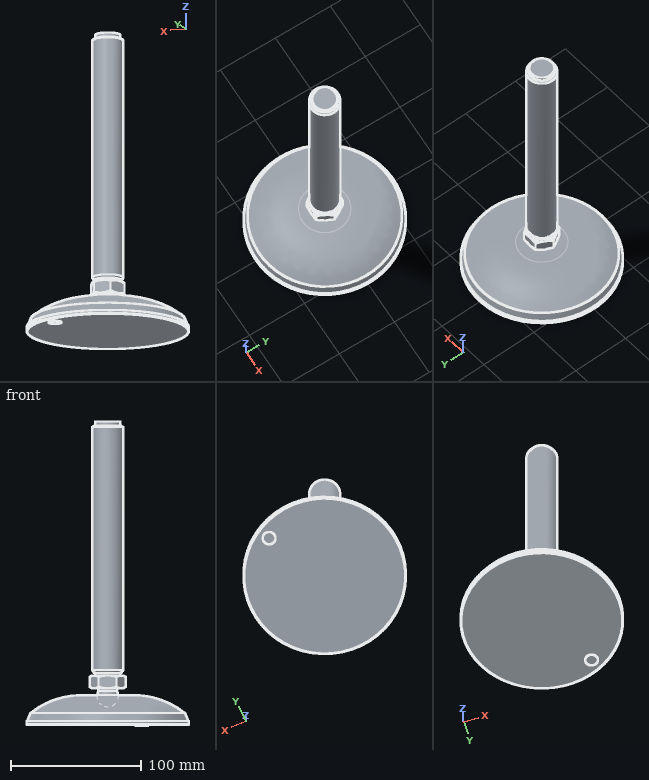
import cadquery as cq
import math


total_height = 233.7

pad_diameter = 125.0
pad_bottom_z = 0.5
pad_bottom_chamfer = 0.7
pad_band_top_z = 3.5
pad_side_foot_diameter = 124.0
pad_side_top_diameter = 119.0
stud_diameter = 9.8
stud_distance = 52.3
stud_angle = 60.0

dome_diameter = 118.2
dome_bottom_z = 9.8
dome_top_z = 23.5
dome_flat_diameter = 40.2

ball_diameter = 16.4
ball_centre_z = 22.7
neck_diameter = 14.3
neck_top_diameter = 15.2

rod_diameter = 24.0
hex_sides = 6
hex_across_flats = rod_diameter
hex_bottom_z = 28.7
hex_top_z = 38.5
hex_chamfer_angle = 30.0

rod_core_diameter = 19.5
rod_bottom_chamfer_diameter = 21.0
rod_chamfer_start_z = 40.7
rod_bottom_z = 42.8
tip_length = 3.3
rod_top_z = 229.2
rod_top_chamfer_diameter = 20.3


def make_pad():
    """Round pad with a conical side, a slightly wider bottom band and a small stud underneath."""
    outer_radius = pad_diameter / 2
    foot_radius = pad_side_foot_diameter / 2
    body = (
        cq.Workplane("XZ")
        .moveTo(0, pad_bottom_z)
        .lineTo(outer_radius - pad_bottom_chamfer, pad_bottom_z)
        .lineTo(outer_radius, pad_bottom_z + pad_bottom_chamfer)
        .lineTo(outer_radius, pad_band_top_z)
        .lineTo(foot_radius, pad_band_top_z)
        .lineTo(pad_side_top_diameter / 2, dome_bottom_z)
        .lineTo(0, dome_bottom_z)
        .close()
        .revolve(360, (0, 0), (0, 1))
    )
    stud_direction = math.radians(stud_angle)
    stud = (
        cq.Workplane("XY")
        .center(stud_distance * math.cos(stud_direction), stud_distance * math.sin(stud_direction))
        .circle(stud_diameter / 2)
        .extrude(pad_band_top_z)
    )
    return body.union(stud)


def make_ball():
    """Ball at the lower end of the spindle."""
    return cq.Workplane("XY").sphere(ball_diameter / 2).translate((0, 0, ball_centre_z))


def make_dome():
    """Dome with a flat top, a rounded crown tangent to it and a socket for the ball."""
    edge_radius = dome_diameter / 2
    flat_radius = dome_flat_diameter / 2
    body = (
        cq.Workplane("XZ")
        .moveTo(0, dome_bottom_z)
        .lineTo(0, dome_top_z)
        .lineTo(flat_radius, dome_top_z)
        .tangentArcPoint((edge_radius, dome_bottom_z), relative=False)
        .close()
        .revolve(360, (0, 0), (0, 1))
    )
    return body.cut(make_ball())


def make_hexagon():
    """Hexagon with corners along X, its corners cut back by a cone at both ends."""
    across_corners = hex_across_flats / math.cos(math.pi / hex_sides)
    height = hex_top_z - hex_bottom_z
    prism = (
        cq.Workplane("XY")
        .workplane(offset=hex_bottom_z)
        .polygon(hex_sides, across_corners)
        .extrude(height)
    )
    corner_depth = (across_corners - hex_across_flats) / 2
    chamfer_height = corner_depth * math.tan(math.radians(hex_chamfer_angle))
    chamfered_round = (
        cq.Workplane("XY")
        .workplane(offset=hex_bottom_z)
        .circle(across_corners / 2)
        .extrude(height)
        .faces("<Z or >Z")
        .chamfer(chamfer_height, corner_depth)
    )
    return prism.intersect(chamfered_round)


def make_neck():
    """Neck that leaves the ball and flares out to the hexagon."""
    neck_radius = neck_diameter / 2
    neck_bottom_z = ball_centre_z + math.sqrt((ball_diameter / 2) ** 2 - neck_radius**2)
    return (
        cq.Workplane("XZ")
        .moveTo(0, ball_centre_z)
        .lineTo(neck_radius, ball_centre_z)
        .lineTo(neck_radius, neck_bottom_z)
        .lineTo(neck_top_diameter / 2, hex_bottom_z)
        .lineTo(0, hex_bottom_z)
        .close()
        .revolve(360, (0, 0), (0, 1))
    )


def make_rod():
    """Long rod on the hexagon, with a thinner collar below and a thinner tip above."""
    core_radius = rod_core_diameter / 2
    radius = rod_diameter / 2
    tip_bottom_z = total_height - tip_length
    return (
        cq.Workplane("XZ")
        .moveTo(0, hex_top_z)
        .lineTo(core_radius, hex_top_z)
        .lineTo(core_radius, rod_chamfer_start_z)
        .lineTo(rod_bottom_chamfer_diameter / 2, rod_chamfer_start_z)
        .lineTo(radius, rod_bottom_z)
        .lineTo(radius, rod_top_z)
        .lineTo(rod_top_chamfer_diameter / 2, tip_bottom_z)
        .lineTo(core_radius, tip_bottom_z)
        .lineTo(core_radius, total_height)
        .lineTo(0, total_height)
        .close()
        .revolve(360, (0, 0), (0, 1))
    )


def make_spindle():
    """Ball, neck, hexagon and rod in one piece."""
    return make_ball().union(make_neck()).union(make_hexagon()).union(make_rod())


pad = make_pad()
dome = make_dome()
spindle = make_spindle()

result = cq.Compound.makeCompound([pad.val(), dome.val(), spindle.val()])